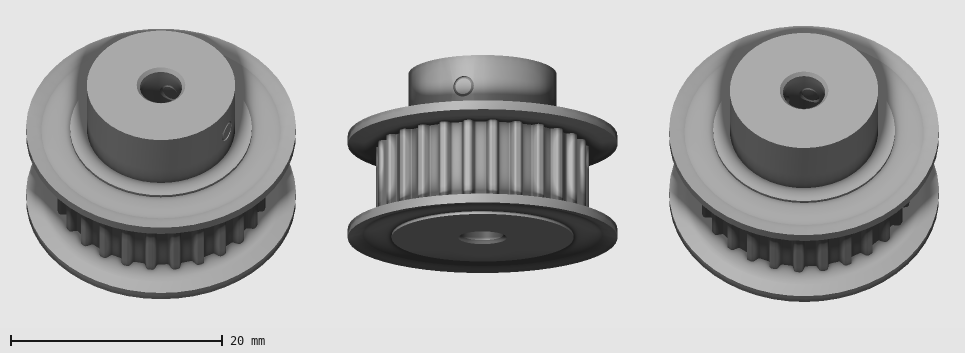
import cadquery as cq
import math

pulley_width = 10.0
hub_length = 6.0
hub_radius = 7.0
total_height = pulley_width + hub_length

clearance = 0.25

flange_radius = 12.75
flange_thickness = 0.87
dish_depth = 0.28
bend_radius = 11.3
bend_fillet = 2.3
core_end_radius = 8.6
flange_depth = flange_thickness + dish_depth

tooth_count = 26
tooth_tip_radius = 10.07
groove_depth = 0.75
groove_mouth_width = 1.75
flank_angle = 25.0
groove_root_fillet = 0.2
tooth_tip_fillet = 0.3
groove_root_radius = tooth_tip_radius - groove_depth
tooth_length = pulley_width - 2 * flange_depth

bore_radius = 2.0
bore_chamfer = 0.3
screw_radius = 1.0
screw_length = hub_radius - bore_radius
screw_chamfer = 0.23
screw_height = pulley_width + hub_length / 2


def groove_cutter():
    """Prism that cuts one belt groove on the +X side, with rounded root corners."""
    slope = math.tan(math.radians(flank_angle))
    root_half = groove_mouth_width / 2 - groove_depth * slope
    outer_half = groove_mouth_width / 2 + clearance * slope
    outer_radius = tooth_tip_radius + clearance
    return (
        cq.Workplane("XY", origin=(0, 0, flange_depth))
        .moveTo(groove_root_radius, -root_half)
        .lineTo(outer_radius, -outer_half)
        .lineTo(outer_radius, outer_half)
        .lineTo(groove_root_radius, root_half)
        .close()
        .extrude(tooth_length)
        .edges("|Z and <X")
        .fillet(groove_root_fillet)
    )


def toothed_rim():
    """Rim between the flanges, with rounded teeth and one groove centred on -Y."""
    rim = (
        cq.Workplane("XY", origin=(0, 0, flange_depth))
        .circle(tooth_tip_radius)
        .extrude(tooth_length)
    )
    cutter = groove_cutter()
    for index in range(tooth_count):
        angle = index * 360 / tooth_count
        rim = rim.cut(cutter.rotate((0, 0, 0), (0, 0, 1), angle))

    def is_tooth_corner(edge):
        center = edge.Center()
        return math.hypot(center.x, center.y) > tooth_tip_radius - tooth_tip_fillet / 2

    tooth_corners = rim.edges("|Z").filter(is_tooth_corner)
    rim = rim.newObject(tooth_corners.vals()).fillet(tooth_tip_fillet)
    return rim.rotate((0, 0, 0), (0, 0, 1), -90)


def lower_flange():
    """Dished disc at the bottom, with the bend rounded on the tooth side."""
    disc = (
        cq.Workplane("XZ")
        .moveTo(0, dish_depth)
        .lineTo(bend_radius, dish_depth)
        .lineTo(flange_radius, 0)
        .lineTo(flange_radius, flange_thickness)
        .lineTo(bend_radius, flange_depth)
        .lineTo(0, flange_depth)
        .close()
        .revolve(360, (0, 0), (0, 1))
    )
    bend = disc.edges(cq.selectors.RadiusNthSelector(0)).edges(">Z")
    return bend.fillet(bend_fillet)


def upper_flange():
    """Mirror image of the lower flange at the hub end."""
    return lower_flange().mirror("XY").translate((0, 0, pulley_width))


def core():
    """Cylinder whose ends stand flush with the flange rims, carrying the hub."""
    body = cq.Workplane("XY").circle(core_end_radius).extrude(pulley_width)
    hub = cq.Workplane("XY").circle(hub_radius).extrude(total_height)
    return body.union(hub)


def bore_cutter():
    """Through bore with a countersink at each end."""
    mouth_radius = bore_radius + bore_chamfer
    return (
        cq.Workplane("XZ")
        .lineTo(mouth_radius, 0)
        .lineTo(bore_radius, bore_chamfer)
        .lineTo(bore_radius, total_height - bore_chamfer)
        .lineTo(mouth_radius, total_height)
        .lineTo(0, total_height)
        .close()
        .revolve(360, (0, 0), (0, 1))
    )


def radial_cylinder(start, length):
    """Cylinder of screw size lying along +X at mid-height of the hub."""
    return (
        cq.Workplane("YZ", origin=(start, 0, screw_height))
        .circle(screw_radius)
        .extrude(length)
    )


def add_set_screws(part):
    """Fill a radial hole on +X and one on +Y with a chamfered set screw each."""
    hole = radial_cylinder(0, hub_radius + clearance)
    screw = radial_cylinder(bore_radius, screw_length)
    screw = screw.faces("<X or >X").chamfer(screw_chamfer)
    for angle in (0, 90):
        part = part.cut(hole.rotate((0, 0, 0), (0, 0, 1), angle))
        part = part.union(screw.rotate((0, 0, 0), (0, 0, 1), angle))
    return part


pulley = core().union(toothed_rim()).union(lower_flange()).union(upper_flange())
pulley = pulley.cut(bore_cutter())
result = add_set_screws(pulley)